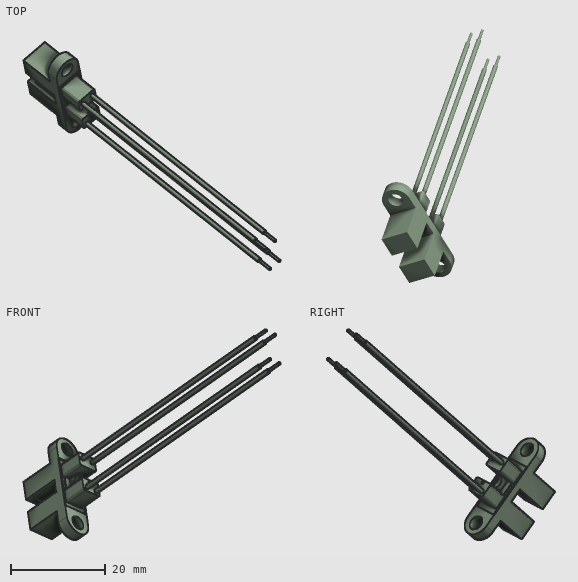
import cadquery as cq

turn_x = -111.806
turn_y = -28.70
turn_z = -38.458

flange_length = 24.6
flange_width = 6.35
flange_thickness = 2.6
hole_spacing = 19.05
hole_diameter = 3.18

arm_reach = 10.81
arm_span = 12.42
slot_width = 3.18
slot_root = 2.0

panel_width = 4.5
panel_depth = 0.1
panel_reach = 9.5
floor_panel_length = 2.4

recess_length = 12.4
recess_width = 5.85
recess_depth = 0.3

block_pitch = 6.5
block_shift = -0.06
block_length = 3.3
block_width = 4.8
block_back = 5.15
block_corner = 0.45

block_gap = block_pitch - block_length
pad_width = 4.0
web_thickness = 1.2
web_height = 2.7
notch_radius = 1.45

wire_spread = 7.47
wire_shift = 0.15
wire_pitch = 2.75
wire_diameter = 1.0
wire_end = 58.5
core_diameter = 0.6
core_end = 61.85

mark_diameter = 0.75
mark_depth = 0.5
mark_v = 2.1


def slab(u_start, u_end, length, width, v=0):
    """A box from u_start to u_end, centred on v and on w = 0."""
    u_size = u_end - u_start
    return cq.Workplane("XY").box(u_size, length, width).translate((u_start + u_size / 2, v, 0))


def rod(u_start, u_end, diameter, v, w):
    """A cylinder along u, from u_start to u_end."""
    return cq.Workplane("YZ", origin=(u_start, v, w)).circle(diameter / 2).extrude(u_end - u_start)


def make_flange():
    flange = cq.Workplane("YZ").slot2D(flange_length, flange_width).extrude(-flange_thickness)
    for side in (-1, 1):
        flange = flange.cut(rod(-flange_thickness, 0, hole_diameter, side * hole_spacing / 2, 0))
    return flange.cut(slab(-recess_depth, 0, recess_length, recess_width))


def make_slot():
    slot = slab(-arm_reach, -slot_root, slot_width, flange_width)
    arm_panels = slab(-panel_reach, -slot_root, slot_width + 2 * panel_depth, panel_width)
    floor_panel = slab(-slot_root, -slot_root + panel_depth, floor_panel_length, panel_width)
    return slot.union(arm_panels).union(floor_panel)


def make_web():
    web = slab(-recess_depth, web_height, block_gap, web_thickness, block_shift)
    notch = (
        cq.Workplane("XY", origin=(web_height, block_shift, -web_thickness / 2))
        .circle(notch_radius)
        .extrude(web_thickness)
    )
    pad = slab(-recess_depth, 0, block_gap, pad_width, block_shift)
    return pad.union(web.cut(notch))


def make_housing():
    arms = slab(-arm_reach, -flange_thickness, arm_span, flange_width)
    return make_flange().union(arms).cut(make_slot()).union(make_web())


def make_element(side):
    """A block with its two wires, on the -v or +v side of the housing."""
    block_v = block_shift + side * block_pitch / 2
    wire_v = wire_shift + side * wire_spread / 2
    element = slab(-recess_depth, block_back, block_length, block_width, block_v)
    element = element.edges("|X").fillet(block_corner)
    for across in (-1, 1):
        wire_w = across * wire_pitch / 2
        element = element.union(rod(block_back, wire_end, wire_diameter, wire_v, wire_w))
        element = element.union(rod(wire_end, core_end, core_diameter, wire_v, wire_w))
    return element


def make_emitter():
    return make_element(-1)


def make_receiver():
    mark = rod(block_back - mark_depth, block_back, mark_diameter, mark_v, 0)
    return make_element(1).cut(mark)


def turn(body):
    """Turn a body from the sensor's own frame to its final orientation."""
    origin = (0, 0, 0)
    body = body.rotate(origin, (1, 0, 0), turn_x)
    body = body.rotate(origin, (0, 1, 0), turn_y)
    return body.rotate(origin, (0, 0, 1), turn_z)


housing = turn(make_housing())
emitter = turn(make_emitter())
receiver = turn(make_receiver())

result = cq.Compound.makeCompound([housing.val(), emitter.val(), receiver.val()])